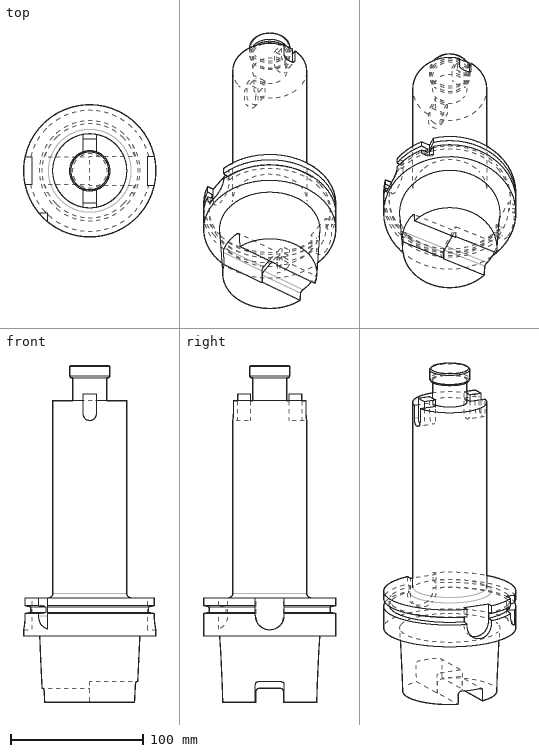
import cadquery as cq

overall_length = 254.6
shank_length = 50.0
flange_height = 29.0
screw_length = 26.7
column_top = overall_length - shank_length - screw_length

shank_top_radius = 38.0
shank_end_radius = 35.7
drive_slot_corner = 2.3

flange_diameter = 100.0
flange_radius = flange_diameter / 2
groove_root_radius = 45.8
groove_center_depth = 9.0
groove_mouth = 5.9
groove_root_width = 4.0

left_slot_width = 20.5
right_slot_width = 22.0
slot_depth = 24.2
slot_floor_x = 43.8
left_drive_height = 10.5
right_drive_height = 15.5
notch_offset = 31.8

column_radius = 28.0
column_fillet = 3.3
foot_margin = 0.3

key_width = 10.0
key_inner_y = 14.5
key_outer_y = 24.2
key_rise = 5.0
key_depth = 15.0

pilot_radius = 13.0
head_radius = 15.3
head_height = 9.5
head_top_chamfer = 1.0
head_under_chamfer_height = 1.3
head_under_chamfer_width = 0.8


def turned(points):
    """Revolve an (r, z) half outline around the Z axis."""
    return cq.Workplane("XZ").polyline(points).close().revolve(360, (0, 0, 0), (0, 1, 0))


def block(x_range, y_range, z_range):
    """Box given by its limits along each axis."""
    (x0, x1), (y0, y1), (z0, z1) = x_range, y_range, z_range
    return cq.Workplane("XY").box(x1 - x0, y1 - y0, z1 - z0, centered=False).translate((x0, y0, z0))


def round_bottom_bar(plane, width, bottom, top, start, end):
    """Upright bar with a half-round lower end, running from start to end along the plane's normal."""
    radius = width / 2
    return (
        cq.Workplane(plane)
        .workplane(offset=start)
        .moveTo(-radius, top)
        .lineTo(-radius, bottom + radius)
        .threePointArc((0, bottom), (radius, bottom + radius))
        .lineTo(radius, top)
        .close()
        .extrude(end - start)
    )


def make_body():
    """Shank, flange and column, turned in one piece."""
    groove_z = flange_height - groove_center_depth
    return turned([
        (0, -shank_length),
        (shank_end_radius, -shank_length),
        (shank_top_radius, 0),
        (flange_radius, 0),
        (flange_radius, groove_z - groove_mouth / 2),
        (groove_root_radius, groove_z - groove_root_width / 2),
        (groove_root_radius, groove_z + groove_root_width / 2),
        (flange_radius, groove_z + groove_mouth / 2),
        (flange_radius, flange_height),
        (column_radius, flange_height),
        (column_radius, column_top),
        (0, column_top),
    ])


def fillet_column_foot(body):
    """Round the inside corner where the column meets the flange."""
    reach = column_radius + foot_margin
    foot = cq.selectors.BoxSelector(
        (-reach, -reach, flange_height - foot_margin),
        (reach, reach, flange_height + foot_margin),
        boundingbox=True,
    )
    return body.edges(foot).fillet(column_fillet)


def cut_flange_slots(body):
    """Slots open to the rim and the top face on -X and +X, and a notch in the (-X, -Y) corner."""
    floor_z = flange_height - slot_depth
    left = round_bottom_bar("YZ", left_slot_width, floor_z, flange_height, -flange_radius, -slot_floor_x)
    right = round_bottom_bar("YZ", right_slot_width, floor_z, flange_height, slot_floor_x, flange_radius)
    notch = round_bottom_bar("YZ", left_slot_width, floor_z, flange_height, -flange_radius, -notch_offset)
    notch = notch.translate((0, -notch_offset - left_slot_width / 2, 0))
    return body.cut(left).cut(right).cut(notch)


def drive_slot(x_range, width, height):
    """Slot across the shank end with rounded top corners."""
    slot = block(x_range, (-width / 2, width / 2), (-shank_length, -shank_length + height))
    return slot.edges("|X and >Z").fillet(drive_slot_corner)


def cut_drive_slots(body):
    left = drive_slot((-flange_radius, 0), left_slot_width, left_drive_height)
    right = drive_slot((0, flange_radius), right_slot_width, right_drive_height)
    return body.cut(left).cut(right)


def cut_key_seats(body):
    """Seats that hold the keys and run out through the column's side."""
    bottom = column_top - key_depth
    for start, end in [(-column_radius, -key_inner_y), (key_inner_y, column_radius)]:
        body = body.cut(round_bottom_bar("XZ", key_width, bottom, column_top, start, end))
    return body


def make_holder():
    body = fillet_column_foot(make_body())
    body = cut_flange_slots(body)
    body = cut_drive_slots(body)
    return cut_key_seats(body)


def make_key(start, end):
    """Drive key with a half-round foot, standing proud of the column's end face."""
    return round_bottom_bar("XZ", key_width, column_top - key_depth, column_top + key_rise, start, end)


def make_screw():
    """Pilot with a larger head, standing on the column's end face."""
    screw_top = column_top + screw_length
    head_bottom = screw_top - head_height
    return turned([
        (0, column_top),
        (pilot_radius, column_top),
        (pilot_radius, head_bottom),
        (head_radius - head_under_chamfer_width, head_bottom),
        (head_radius, head_bottom + head_under_chamfer_height),
        (head_radius, screw_top - head_top_chamfer),
        (head_radius - head_top_chamfer, screw_top),
        (0, screw_top),
    ])


holder = make_holder()
screw = make_screw()
key_spans = [(-key_outer_y, -key_inner_y), (key_inner_y, key_outer_y)]
keys = [make_key(start, end) for start, end in key_spans]

result = cq.Compound.makeCompound([holder.solids().val(), screw.val(), *[key.val() for key in keys]])